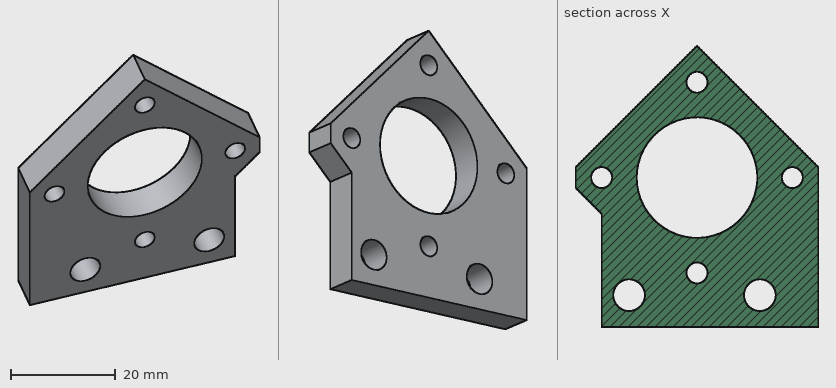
import cadquery as cq

thickness = 7.0
height = 53.8
width = 46.4
half_width = width / 2
shoulder_z = 2.0
apex_z = shoulder_z + half_width
bottom_z = apex_z - height

bore_diameter = 23.0
bolt_offset = 18.25
bolt_diameter = 4.0
mount_diameter = 6.0
mount_spacing = 25.0
mount_center_y = 0.5
mount_z = -22.5

step_y = bolt_offset
ear_bottom_z = -shoulder_z
step_z = ear_bottom_z - (half_width - step_y)


def drill(body, centers, diameter):
    """Cut through holes along X at the given (y, z) centers."""
    holes = (
        cq.Workplane("YZ")
        .pushPoints(centers)
        .circle(diameter / 2)
        .extrude(thickness / 2, both=True)
    )
    return body.cut(holes)


outline = [
    (0, apex_z),
    (half_width, shoulder_z),
    (half_width, ear_bottom_z),
    (step_y, step_z),
    (step_y, bottom_z),
    (-half_width, bottom_z),
    (-half_width, shoulder_z),
]
plate = cq.Workplane("YZ").polyline(outline).close().extrude(thickness / 2, both=True)

bolt_centers = [(bolt_offset, 0), (0, bolt_offset), (-bolt_offset, 0), (0, -bolt_offset)]
mount_centers = [(mount_center_y + side * mount_spacing / 2, mount_z) for side in (-1, 1)]

plate = drill(plate, [(0, 0)], bore_diameter)
plate = drill(plate, bolt_centers, bolt_diameter)
plate = drill(plate, mount_centers, mount_diameter)

result = plate